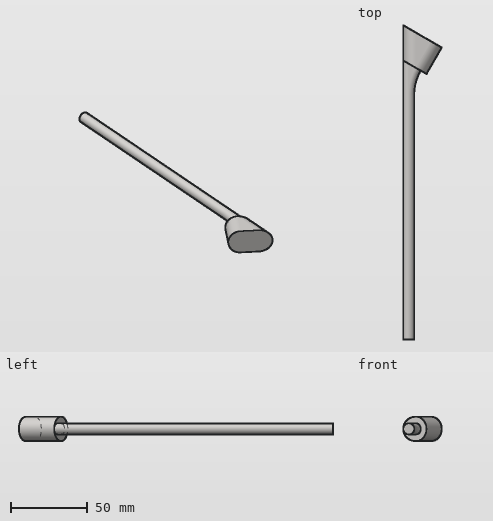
import cadquery as cq
import math


rod_diameter = 7.3
rod_length = 160.0
bend_radius = 35.0
bend_angle = 30.0

head_diameter = 16.0
head_length = 20.0

rod_radius = rod_diameter / 2
head_radius = head_diameter / 2
angle = math.radians(bend_angle)
head_axis_x = head_radius - rod_radius


def bend_point(turn):
    """Point on the bent axis after turning by the given angle in radians."""
    x = bend_radius * (1 - math.cos(turn))
    y = rod_length + bend_radius * math.sin(turn)
    return (x, y)


bend_start = bend_point(0)
bend_middle = bend_point(angle / 2)
bend_end = bend_point(angle)
slanted_axis_end = (
    bend_end[0] + head_length * math.sin(angle),
    bend_end[1] + head_length * math.cos(angle),
)


def near_face_y(x):
    """Y at the given X on the head's near face, which is square to the slanted axis."""
    return bend_end[1] - (x - bend_end[0]) * math.tan(angle)


def far_face_y(x):
    """Y at the given X on the head's far face, parallel to the near face."""
    return near_face_y(x) + head_length / math.cos(angle)


def half_disc(center, turn, radius, side):
    """Half disc facing along +Y turned toward +X; side is 1 for right, -1 for left."""
    plane = cq.Plane(
        origin=(center[0], center[1], 0),
        xDir=(math.cos(turn), -math.sin(turn), 0),
        normal=(math.sin(turn), math.cos(turn), 0),
    )
    sketch = cq.Workplane(plane).moveTo(0, -radius)
    return sketch.threePointArc((side * radius, 0), (0, radius)).close()


def left_half_cylinder(axis_x, radius, start_y, end_y):
    """Left half of a cylinder along +Y; the ends' Y are given as functions of X."""
    left_x = axis_x - radius
    outline = [
        (left_x, start_y(left_x)),
        (axis_x, start_y(axis_x)),
        (axis_x, end_y(axis_x)),
        (left_x, end_y(left_x)),
    ]
    trim = cq.Workplane("XY").polyline(outline).close().extrude(radius, both=True)
    first_y = min(y for _, y in outline)
    last_y = max(y for _, y in outline)
    half = half_disc((axis_x, first_y), 0, radius, -1).extrude(last_y - first_y)
    return half.intersect(trim)


def make_rod():
    """Straight round rod up to the fork."""
    return cq.Workplane("XZ").circle(rod_radius).extrude(-rod_length)


def make_fork():
    """Straight and bent branches with a flat web between their axes."""
    straight = left_half_cylinder(0, rod_radius, lambda x: rod_length, near_face_y)
    web = (
        cq.Workplane("XY")
        .moveTo(*bend_start)
        .threePointArc(bend_middle, bend_end)
        .lineTo(0, near_face_y(0))
        .close()
        .extrude(rod_radius, both=True)
    )
    bent = half_disc(bend_start, 0, rod_radius, 1).revolve(
        bend_angle, (bend_radius, 0), (bend_radius, 1)
    )
    return straight.union(web).union(bent)


def make_head():
    """Straight and slanted half cylinders with a flat web between their axes."""
    straight = left_half_cylinder(head_axis_x, head_radius, near_face_y, far_face_y)
    web_outline = [
        (head_axis_x, near_face_y(head_axis_x)),
        bend_end,
        slanted_axis_end,
        (head_axis_x, far_face_y(head_axis_x)),
    ]
    web = cq.Workplane("XY").polyline(web_outline).close().extrude(head_radius, both=True)
    slanted = half_disc(bend_end, angle, head_radius, 1).extrude(head_length)
    return straight.union(web).union(slanted)


result = make_rod().union(make_fork()).union(make_head())